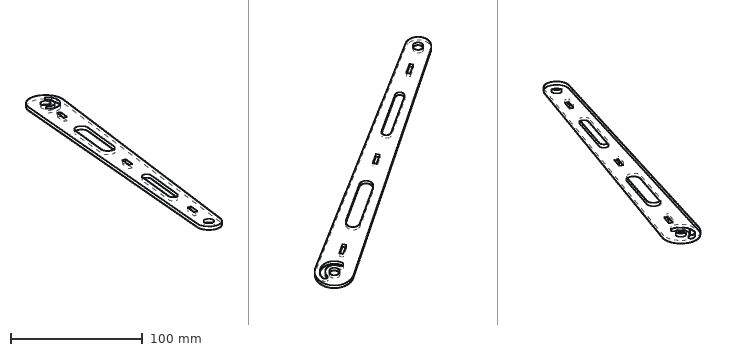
import cadquery as cq
import math

LENGTH = 275.0
THICKNESS = 3.0
LARGE_END_DIAMETER = 30.0
LARGE_END_RADIUS = LARGE_END_DIAMETER / 2
SMALL_END_DIAMETER = 20.0
SMALL_END_RADIUS = SMALL_END_DIAMETER / 2
PIVOT_SPACING = LENGTH - LARGE_END_RADIUS - SMALL_END_RADIUS
PIVOT_DIAMETER = 8.0

TAB_LENGTH = 10.0
TAB_WIDTH = 3.0
TAB_INSET = PIVOT_SPACING / 10
TAB_POSITIONS = (TAB_INSET, PIVOT_SPACING / 2, PIVOT_SPACING - TAB_INSET)

WIDE_SLOT_POSITION = 0.3 * PIVOT_SPACING
NARROW_SLOT_POSITION = 0.7 * PIVOT_SPACING
LIGHTENING_STRAIGHT = 40.0
WIDE_SLOT_WIDTH = 11.0
NARROW_SLOT_WIDTH = 7.5

ARC_RADIUS = 9.0
ARC_WIDTH = 4.0
ARC_START = -17.0
ARC_END = 143.0


def polar(radius, degrees):
    """Point at a radius and angle from the large-end pivot."""
    angle = math.radians(degrees)
    return radius * math.cos(angle), radius * math.sin(angle)


def tapered_plate():
    """Two round ends joined by their common tangents; the large pivot is at the origin."""
    tangent = math.degrees(math.acos((LARGE_END_RADIUS - SMALL_END_RADIUS) / PIVOT_SPACING))
    large_x, large_y = polar(LARGE_END_RADIUS, tangent)
    small_x, small_y = polar(SMALL_END_RADIUS, tangent)
    small_x += PIVOT_SPACING
    return (
        cq.Workplane("XY")
        .moveTo(large_x, large_y)
        .lineTo(small_x, small_y)
        .threePointArc((PIVOT_SPACING + SMALL_END_RADIUS, 0), (small_x, -small_y))
        .lineTo(large_x, -large_y)
        .threePointArc((-LARGE_END_RADIUS, 0), (large_x, large_y))
        .close()
        .extrude(THICKNESS)
    )


def pivot_holes():
    centres = [(0, 0), (PIVOT_SPACING, 0)]
    return cq.Workplane("XY").pushPoints(centres).circle(PIVOT_DIAMETER / 2).extrude(THICKNESS)


def tab_slots():
    centres = [(x, 0) for x in TAB_POSITIONS]
    return cq.Workplane("XY").pushPoints(centres).rect(TAB_LENGTH, TAB_WIDTH).extrude(THICKNESS)


def lightening_slot(position, width):
    return (
        cq.Workplane("XY")
        .center(position, 0)
        .slot2D(LIGHTENING_STRAIGHT + width, width)
        .extrude(THICKNESS)
    )


def curved_slot():
    inner = ARC_RADIUS - ARC_WIDTH / 2
    outer = ARC_RADIUS + ARC_WIDTH / 2
    middle = (ARC_START + ARC_END) / 2
    cap_angle = math.degrees(ARC_WIDTH / 2 / ARC_RADIUS)
    return (
        cq.Workplane("XY")
        .moveTo(*polar(outer, ARC_START))
        .threePointArc(polar(outer, middle), polar(outer, ARC_END))
        .threePointArc(polar(ARC_RADIUS, ARC_END + cap_angle), polar(inner, ARC_END))
        .threePointArc(polar(inner, middle), polar(inner, ARC_START))
        .threePointArc(polar(ARC_RADIUS, ARC_START - cap_angle), polar(outer, ARC_START))
        .close()
        .extrude(THICKNESS)
    )


result = (
    tapered_plate()
    .cut(pivot_holes())
    .cut(tab_slots())
    .cut(lightening_slot(WIDE_SLOT_POSITION, WIDE_SLOT_WIDTH))
    .cut(lightening_slot(NARROW_SLOT_POSITION, NARROW_SLOT_WIDTH))
    .cut(curved_slot())
)